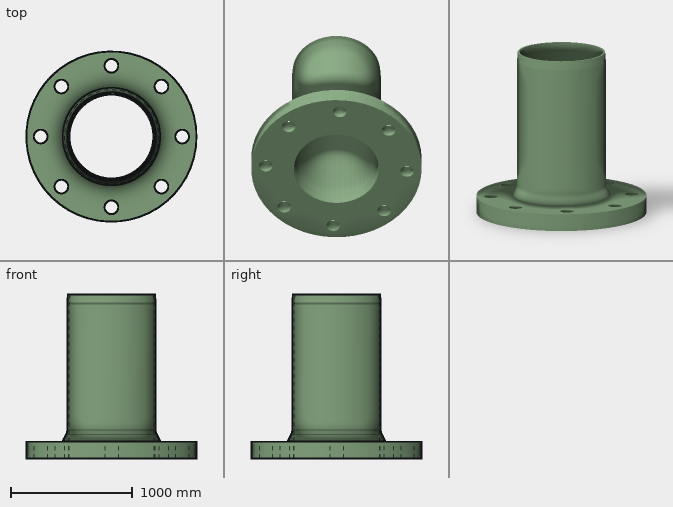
import cadquery as cq

flange_diameter = 1400.0
flange_thickness = 141.0
bolt_hole_diameter = 110.0
bolt_circle_diameter = 1162.0
bolt_count = 8
spigot_diameter = 774.0

total_height = 1350.0
pipe_diameter = 730.0
bore_diameter = 699.0
hub_gap = 4.0
hub_base_diameter = 802.0
hub_cone_top_diameter = 745.0
hub_cone_top_height = 202.0
hub_top_height = 237.0
taper_length = 69.0
taper_inset = 5.0
bend_length = 7.0

pipe_radius = pipe_diameter / 2
hub_base_height = flange_thickness + hub_gap
bore_radius = bore_diameter / 2
bend_start = total_height - taper_length - bend_length
bend_end = total_height - taper_length
taper_slope = taper_inset / (taper_length + bend_length / 2)
bend_inset = taper_slope * bend_length / 2


def make_flange():
    """Round plate with a ring of bolt holes and a bore for the pipe spigot."""
    plate = cq.Workplane("XY").circle(flange_diameter / 2).circle(spigot_diameter / 2)
    plate = plate.extrude(flange_thickness)
    bolt_holes = (
        cq.Workplane("XY")
        .polarArray(bolt_circle_diameter / 2, 0, 360, bolt_count)
        .circle(bolt_hole_diameter / 2)
        .extrude(flange_thickness)
    )
    return plate.cut(bolt_holes)


def make_pipe():
    """Revolved pipe: spigot, conical hub, straight wall and slightly tapered end."""
    profile = (
        cq.Workplane("XZ")
        .moveTo(bore_radius, 0)
        .lineTo(spigot_diameter / 2, 0)
        .lineTo(spigot_diameter / 2, hub_base_height)
        .lineTo(hub_base_diameter / 2, hub_base_height)
        .lineTo(hub_cone_top_diameter / 2, hub_cone_top_height)
        .tangentArcPoint((pipe_radius, hub_top_height), relative=False)
        .lineTo(pipe_radius, bend_start)
        .tangentArcPoint((pipe_radius - bend_inset, bend_end), relative=False)
        .lineTo(pipe_radius - taper_inset, total_height)
        .lineTo(bore_radius - taper_inset, total_height)
        .lineTo(bore_radius - bend_inset, bend_end)
        .tangentArcPoint((bore_radius, bend_start), relative=False)
        .close()
    )
    return profile.revolve(360, (0, 0, 0), (0, 1, 0))


flange = make_flange()
pipe = make_pipe()
result = cq.Compound.makeCompound([flange.val(), pipe.val()])